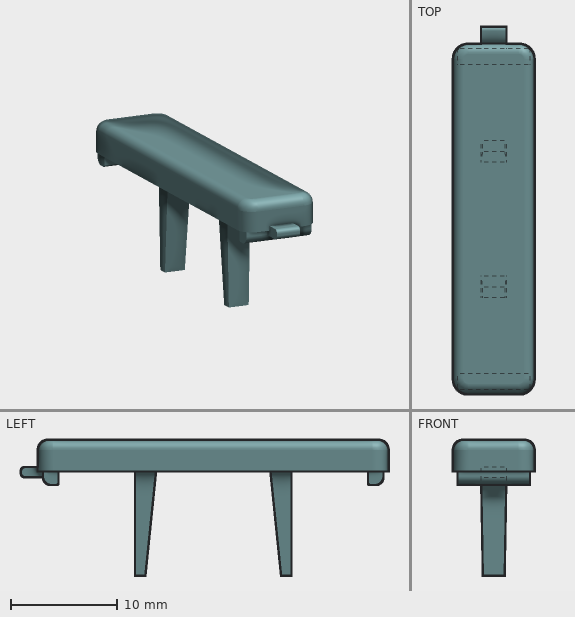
import cadquery as cq

plate_width = 7.7
total_length = 34.6
tab_reach = 1.6
plate_length = total_length - tab_reach
total_height = 12.8
plate_height = 3.0
corner_radius = 1.5
top_radius = 1.0

lug_width = 6.8
lug_length = 1.5
lug_depth = 1.28
lug_inset = 0.5
lug_outer_radius = 0.8
lug_inner_radius = 0.2

tab_width = 2.42
tab_thickness = 1.0
tab_top = 0.45
tab_tip_radius = 0.4

leg_length = total_height - plate_height
leg_inset = 9.15
leg_root_width = 2.42
leg_tip_width = 2.08
leg_root_thickness = 2.0
leg_tip_thickness = 1.0

plate_end = plate_length / 2
lug_outer_face = plate_end - lug_inset
leg_outer_face = plate_end - leg_inset


def make_plate():
    block = cq.Workplane("XY").rect(plate_width, plate_length).extrude(plate_height)
    return block.edges("|Z").fillet(corner_radius).faces(">Z").edges().fillet(top_radius)


def make_lug():
    """Lug at the +Y end, with its two lower edges rounded."""
    lug = cq.Workplane("XY").box(lug_width, lug_length, lug_depth, centered=(True, True, False))
    lug = lug.translate((0, lug_outer_face - lug_length / 2, -lug_depth))
    lug = lug.faces("<Z").edges("|X and >Y").fillet(lug_outer_radius)
    return lug.faces("<Z").edges("|X and <Y").fillet(lug_inner_radius)


def make_leg():
    """Leg on the +Y half, lofted from its root to its tip."""
    tip_shift = (leg_root_thickness - leg_tip_thickness) / 2
    return (
        cq.Workplane("XY")
        .center(0, leg_outer_face - leg_root_thickness / 2)
        .rect(leg_root_width, leg_root_thickness)
        .workplane(offset=-leg_length)
        .center(0, tip_shift)
        .rect(leg_tip_width, leg_tip_thickness)
        .loft(ruled=True)
    )


def make_tab():
    """Tab with a rounded tip, rooted in the plate and the +Y lug."""
    tab_root = lug_outer_face - lug_length / 2
    tab_length = plate_end + tab_reach - tab_root
    tab = cq.Workplane("XY").box(tab_width, tab_length, tab_thickness, centered=(True, False, False))
    tab = tab.translate((0, tab_root, tab_top - tab_thickness))
    return tab.faces(">Y").edges("|X").fillet(tab_tip_radius)


result = make_plate()
for end_feature in (make_lug(), make_leg()):
    result = result.union(end_feature).union(end_feature.mirror("XZ"))
result = result.union(make_tab())